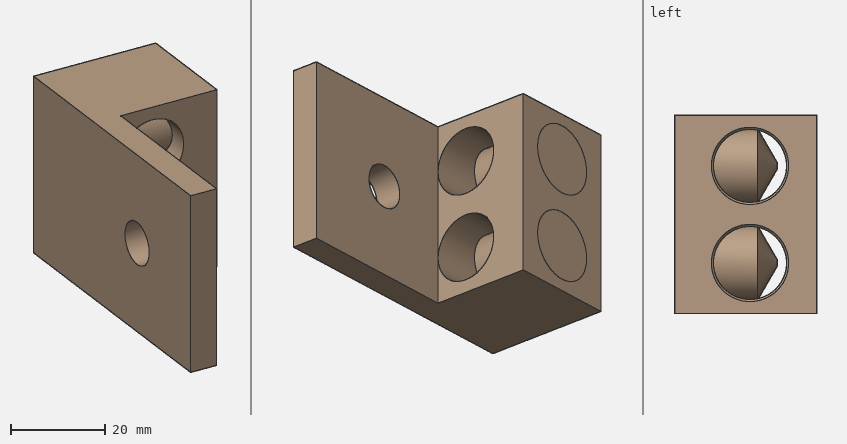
import cadquery as cq

length = 65.1
depth = 30.2
height = 42.1
block_length = 25.4
plate_thickness = 6.4

mount_hole_diameter = 10.0
mount_hole_x = 42.9

bore_diameter = 15.5
bore_y = 14.2
bore_spacing = 20.6
bore_chamfer = 0.45
bore_heights = [height / 2 - bore_spacing / 2, height / 2 + bore_spacing / 2]

screw_diameter = 16.0
screw_x = block_length / 2
screw_tip_y = 8.4
screw_shoulder_y = 12.6
screw_tip_radius = 0.7


def make_bore(bore_z):
    """Cutter for one conductor bore through the block."""
    side = cq.Workplane("YZ", origin=(0, bore_y, bore_z))
    return side.circle(bore_diameter / 2).extrude(block_length)


def make_screw(bore_z):
    """Cylindrical screw with a conical point, flush with the back face."""
    half_profile = [
        (0, screw_tip_y),
        (screw_tip_radius, screw_tip_y),
        (screw_diameter / 2, screw_shoulder_y),
        (screw_diameter / 2, depth),
        (0, depth),
    ]
    axis_plane = cq.Workplane("XY", origin=(screw_x, 0, bore_z))
    return axis_plane.polyline(half_profile).close().revolve(360, (0, 0, 0), (0, 1, 0))


def make_housing():
    outline = [
        (0, 0),
        (length, 0),
        (length, plate_thickness),
        (block_length, plate_thickness),
        (block_length, depth),
        (0, depth),
    ]
    body = cq.Workplane("XY").polyline(outline).close().extrude(height)
    mount_hole = (
        cq.Workplane("XZ", origin=(mount_hole_x, plate_thickness, height / 2))
        .circle(mount_hole_diameter / 2)
        .extrude(plate_thickness)
    )
    body = body.cut(mount_hole)
    for bore_z in bore_heights:
        body = body.cut(make_bore(bore_z))
        body = body.cut(make_screw(bore_z))
    return body.faces("<X").edges("%CIRCLE").chamfer(bore_chamfer)


housing = make_housing()
screws = [make_screw(bore_z) for bore_z in bore_heights]

result = cq.Compound.makeCompound([housing.val(), *[screw.val() for screw in screws]])